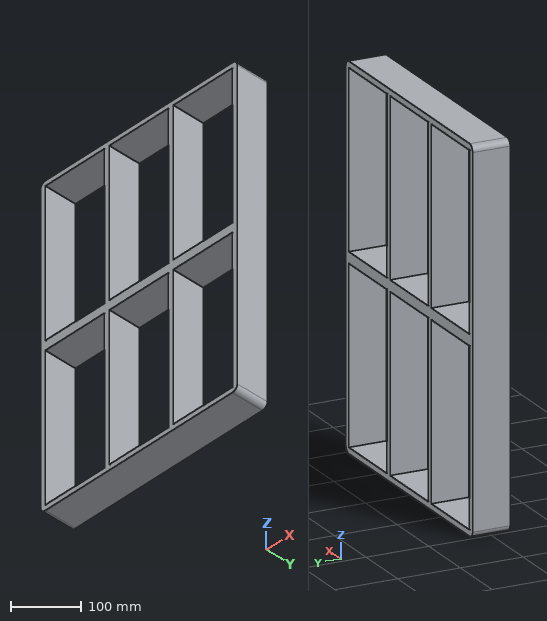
import cadquery as cq

width = 402.0
depth = 60.0
height = 596.0

wall = 10.0
crossbar = 18.0
corner_radius = 10.0
columns = 3
rows = 2

window_width = (width - (columns + 1) * wall) / columns
window_height = (height - 2 * wall - (rows - 1) * crossbar) / rows

slab = cq.Workplane("XY").box(width, depth, height).edges("|Y").fillet(corner_radius)

windows = (
    cq.Workplane("XZ", origin=(0, depth / 2, 0))
    .rarray(window_width + wall, window_height + crossbar, columns, rows)
    .rect(window_width, window_height)
    .extrude(depth)
)

result = slab.cut(windows)